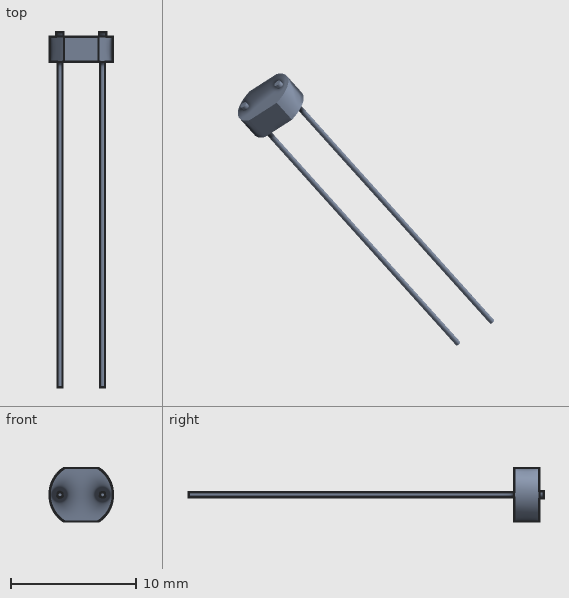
import cadquery as cq
import math

total_length = 28.37
body_diameter = 5.08
body_height = 4.28
body_thickness = 2.01
lead_diameter = 0.43
lead_spacing = 3.4
terminal_diameter = 0.6
terminal_length = 0.37

body_radius = body_diameter / 2
half_height = body_height / 2
half_flat = math.sqrt(body_radius**2 - half_height**2)
lead_length = total_length - body_thickness - terminal_length
lead_positions = (-lead_spacing / 2, lead_spacing / 2)



def make_body():
    """Disc with its axis along Y, cut by a flat at the top and at the bottom."""
    return (
        cq.Workplane("XZ")
        .moveTo(-half_flat, half_height)
        .lineTo(half_flat, half_height)
        .threePointArc((body_radius, 0), (half_flat, -half_height))
        .lineTo(-half_flat, -half_height)
        .threePointArc((-body_radius, 0), (-half_flat, half_height))
        .close()
        .extrude(-body_thickness)
    )


def make_lead(x):
    """Long round wire reaching from the front face of the body toward -Y."""
    return cq.Workplane("XZ").center(x, 0).circle(lead_diameter / 2).extrude(lead_length)


def make_terminal(x):
    """Short round stud on the back face of the body, in line with a lead."""
    return (
        cq.Workplane("XZ", origin=(x, body_thickness, 0))
        .circle(terminal_diameter / 2)
        .extrude(-terminal_length)
    )


body = make_body()
leads = [make_lead(x) for x in lead_positions]
terminals = [make_terminal(x) for x in lead_positions]

result = cq.Compound.makeCompound(
    [
        body.val(),
        *[lead.val() for lead in leads],
        *[terminal.val() for terminal in terminals],
    ]
)